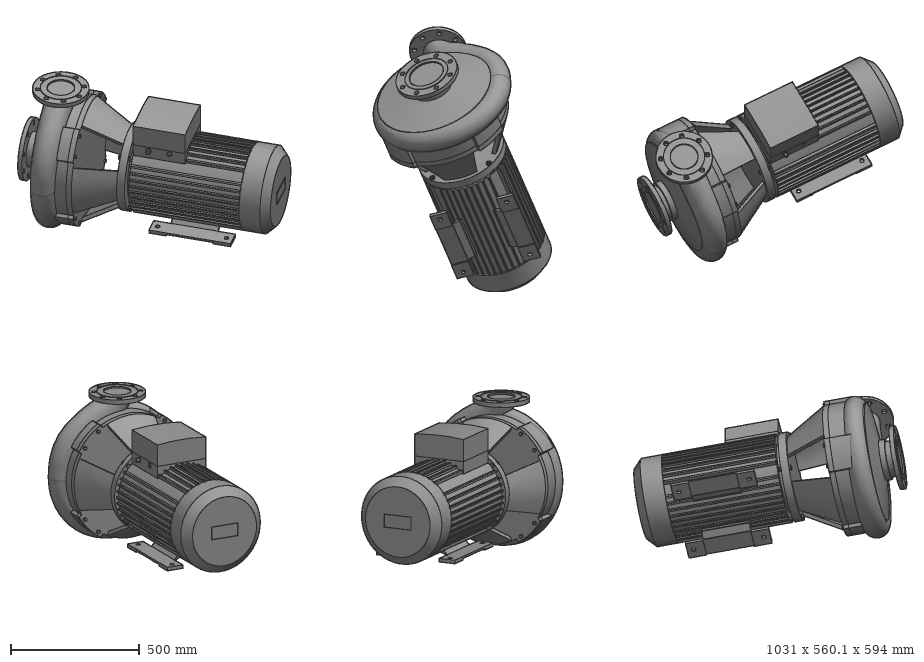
import cadquery as cq
import math


suction_flange_back = 20.0
collar_front = 47.0
cone_front = 70.0
cone_back = 94.0
volute_x = 140.0
joint_x = 234.0
ring_back = 256.0
lantern_flange_front = 417.0
lantern_flange_back = 448.0
motor_front = 463.0
motor_back = 910.0
cover_bevel_x = 995.0
cover_back = 1028.0
overall_length = 1031.0

suction_flange_d = 250.0
suction_face_d = 175.0
suction_bore_d = 139.0
suction_neck_d = 140.0
suction_bolt_circle_d = 210.0
collar_d = 160.0
cone_edge_r = 232.0
discharge_top = 314.0
discharge_flange_t = 20.0
discharge_flange_d = 220.0
discharge_face_d = 160.0
discharge_bore_d = 107.0
discharge_bolt_circle_d = 180.0
flange_hole_d = 19.0
flange_hole_count = 8
raised_face_t = 2.0
bore_recess = 6.0
tube_start_r = 48.0
tube_tail_r = 40.0
tube_outlet_r = 58.0
volute_reach_near = 297.0
volute_reach_far = 263.0
outlet_bend_r = 82.0

ring_r = 251.0
lug_r = 265.0
lug_width = 133.0
stud_d = 13.0
stud_length = 6.0
stud_spacing_angle = 19.0

arm_end_r = 158.0
arm_thickness = 18.0
arm_half_angle = 25.0
lantern_flange_d = 350.0

bolt_circle_r = 163.0
bolt_d = 10.0
bolt_head_d = 18.0
bolt_head_t = 6.0
nut_d = 20.0
nut_t = 6.0
bolt_overhang = 9.0

motor_neck_d = 269.0
motor_core_r = 166.0
fin_tip_r = lantern_flange_d / 2
fin_pitch = 25.0
fin_t = 5.0
fin_side_count = 4
cover_end_r = 140.0
end_plate_width = 115.0
end_plate_height = 52.0

foot_x = 545.0
foot_length = 330.0
foot_inner_y = 102.0
foot_width = 68.0
foot_top = -166.0
foot_plate_t = 8.0
foot_bottom = -180.0
foot_pad_length = 70.0
foot_web_top = -147.0
foot_web_t = 7.0
foot_hole_d = 16.0
foot_hole_inset = 26.0

box_length = 210.0
box_width = 212.0
box_bottom = 128.0
box_split = 177.0
lid_side_top = 265.0
lid_crown = 271.0
gland_z = 162.0
gland_x = 526.0
gland_spacing = 84.0
gland_d = 20.0
gland_collar_length = 5.0
gland_tip_d = 15.0
gland_length = 16.0
gland_hole_depth = 5.0


def disc(x_start, x_end, diameter):
    """Round disc on the shaft axis."""
    return cq.Workplane("YZ", origin=(x_start, 0, 0)).circle(diameter / 2).extrude(x_end - x_start)


def revolve_profile(points):
    """Solid of revolution about the shaft from (x, radius) points."""
    return cq.Workplane("XY").polyline(points).close().revolve(360, (0, 0, 0), (1, 0, 0))


def diagonal_points(radius, offset_angle=0):
    """Four (y, z) points on the diagonals, or turned from them by the offset angle."""
    angles = [math.radians(45 + offset_angle + 90 * i) for i in range(4)]
    return [(radius * math.cos(a), radius * math.sin(a)) for a in angles]


def lugged_ring(x_start, x_end):
    """Disc with four parallel-sided lugs on the diagonals."""
    length = x_end - x_start
    bars = cq.Workplane("YZ", origin=(x_start, 0, 0))
    bars = bars.transformed(rotate=(0, 0, 45)).rect(2 * lug_r, lug_width).extrude(length)
    bars = bars.union(bars.rotate((0, 0, 0), (1, 0, 0), 90))
    return disc(x_start, x_end, 2 * ring_r).union(bars.intersect(disc(x_start, x_end, 2 * lug_r)))


def flange(plane, thickness, diameter, face_d, bore_d, bolt_circle_d):
    """Pipe flange with its raised sealing face on the plane, bolt holes and a bore recess."""
    half_pitch = 180 / flange_hole_count
    face = cq.Workplane(plane).circle(face_d / 2).extrude(-thickness)
    rim = cq.Workplane(plane).workplane(offset=-raised_face_t)
    rim = rim.circle(diameter / 2).extrude(raised_face_t - thickness)
    holes = (
        cq.Workplane(plane)
        .polarArray(bolt_circle_d / 2, half_pitch, 360, flange_hole_count)
        .circle(flange_hole_d / 2)
        .extrude(-thickness)
    )
    bore = cq.Workplane(plane).circle(bore_d / 2).extrude(-bore_recess)
    return face.union(rim).cut(holes).cut(bore)


def volute_spiral():
    """Tube that tapers along an off-centre circle, from the -Y side under the shaft to the top."""
    start_y = -(volute_reach_near - tube_start_r)
    far_r = tube_start_r + (tube_tail_r - tube_start_r) * 2 / 3
    far_y = volute_reach_far - far_r
    path_r = (far_y - start_y) / 2
    center_y = (far_y + start_y) / 2
    plane = cq.Workplane("YZ", origin=(volute_x, center_y, 0))
    half = path_r * math.sqrt(0.5)
    path = plane.moveTo(-path_r, 0).threePointArc((half, -half), (0, path_r))
    start = cq.Workplane("XY", origin=(volute_x, start_y, 0)).circle(tube_start_r).wires().val()
    tail_plane = cq.Plane((volute_x, center_y, path_r), (1, 0, 0), (0, -1, 0))
    tail = cq.Workplane(tail_plane).circle(tube_tail_r).wires().val()
    return cq.Workplane(cq.Solid.sweep_multi([start, tail], path.wire().val()))


def volute_outlet():
    """Tube that widens round the -Y side, then bends up into the discharge flange."""
    path_r = volute_reach_near - tube_start_r
    bend_z = math.sqrt((path_r + outlet_bend_r) ** 2 - outlet_bend_r**2)
    turn = math.atan2(bend_z, outlet_bend_r)
    turn_point = (-path_r * math.cos(turn), path_r * math.sin(turn))
    half_turn_point = (-path_r * math.cos(turn / 2), path_r * math.sin(turn / 2))
    path = cq.Workplane("YZ", origin=(volute_x, 0, 0)).spline(
        [(-path_r, 0), half_turn_point, turn_point, (0, bend_z)], tangents=[(0, 1), (0, 1)]
    )
    start = cq.Workplane("XY", origin=(volute_x, -path_r, 0)).circle(tube_start_r).wires().val()
    end = cq.Workplane("XY", origin=(volute_x, 0, bend_z)).circle(tube_outlet_r).wires().val()
    return cq.Workplane(cq.Solid.sweep_multi([start, end], path.wire().val()))


def make_casing():
    core = revolve_profile(
        [
            (suction_flange_back, 0),
            (suction_flange_back, suction_neck_d / 2),
            (collar_front, suction_neck_d / 2),
            (collar_front, collar_d / 2),
            (cone_front, collar_d / 2),
            (cone_back, cone_edge_r),
            (joint_x, cone_edge_r),
            (joint_x, 0),
        ]
    )
    suction = flange(
        cq.Plane((0, 0, 0), (0, 1, 0), (-1, 0, 0)),
        suction_flange_back,
        suction_flange_d,
        suction_face_d,
        suction_bore_d,
        suction_bolt_circle_d,
    )
    discharge = flange(
        cq.Plane((volute_x, 0, discharge_top)),
        discharge_flange_t,
        discharge_flange_d,
        discharge_face_d,
        discharge_bore_d,
        discharge_bolt_circle_d,
    )
    flange_space = (
        cq.Workplane("XY", origin=(volute_x, 0, discharge_top - discharge_flange_t))
        .circle(discharge_flange_d / 2)
        .extrude(2 * discharge_flange_t)
    )
    body = core.union(lugged_ring(volute_x, joint_x)).union(volute_spiral())
    body = body.union(volute_outlet().cut(flange_space))
    return body.union(suction).union(discharge)


def make_bracket():
    shell = revolve_profile(
        [
            (ring_back, ring_r - arm_thickness),
            (ring_back, ring_r),
            (lantern_flange_front, arm_end_r),
            (lantern_flange_front, arm_end_r - arm_thickness),
        ]
    )
    reach = 2 * ring_r
    half = reach * math.tan(math.radians(arm_half_angle))
    wedge = (
        cq.Workplane("YZ", origin=(ring_back, 0, 0))
        .polyline([(0, 0), (reach, -half), (reach, half)])
        .close()
        .extrude(lantern_flange_front - ring_back)
    )
    body = lugged_ring(joint_x, ring_back)
    body = body.union(disc(lantern_flange_front, lantern_flange_back, lantern_flange_d))
    for i in range(4):
        body = body.union(shell.intersect(wedge.rotate((0, 0, 0), (1, 0, 0), 90 * i)))
    for offset_angle in (-stud_spacing_angle / 2, stud_spacing_angle / 2):
        spots = diagonal_points(ring_r, offset_angle)
        studs = cq.Workplane("YZ", origin=(ring_back, 0, 0)).pushPoints(spots).circle(stud_d / 2)
        body = body.union(studs.extrude(stud_length))
    holes = cq.Workplane("YZ", origin=(lantern_flange_front, 0, 0)).pushPoints(diagonal_points(bolt_circle_r))
    return body.cut(holes.circle(bolt_d / 2).extrude(lantern_flange_back - lantern_flange_front))


def make_bolt(y, z):
    head_end = lantern_flange_back + bolt_head_t
    bolt = disc(lantern_flange_front - bolt_overhang, head_end, bolt_d)
    bolt = bolt.union(disc(lantern_flange_back, head_end, bolt_head_d))
    bolt = bolt.union(disc(lantern_flange_front - nut_t, lantern_flange_front, nut_d))
    return bolt.translate((0, y, z))


def make_foot():
    """Foot on the -Y side: plate on two pads, joined to the motor by a sloping web."""
    center_x = foot_x + foot_length / 2
    plate_y = -foot_inner_y - foot_width / 2
    top = cq.Workplane("XY", origin=(center_x, plate_y, foot_top))
    plate = top.rect(foot_length, foot_width).extrude(-foot_plate_t)
    pad_shift = (foot_length - foot_pad_length) / 2
    pads = (
        top.pushPoints([(-pad_shift, 0), (pad_shift, 0)])
        .rect(foot_pad_length, foot_width)
        .extrude(foot_bottom - foot_top)
    )
    hole_shift = foot_length / 2 - foot_hole_inset
    holes = (
        top.pushPoints([(-hole_shift, 0), (hole_shift, 0)])
        .circle(foot_hole_d / 2)
        .extrude(foot_bottom - foot_top)
    )
    rise = foot_web_top - foot_top
    web = (
        cq.Workplane("YZ", origin=(foot_x + foot_pad_length, 0, 0))
        .polyline(
            [
                (-foot_inner_y - foot_web_t, foot_top - foot_plate_t),
                (-foot_inner_y, foot_top),
                (-foot_inner_y + rise, foot_web_top),
                (-foot_inner_y + 2 * rise, foot_web_top),
                (-foot_inner_y + 2 * rise, foot_web_top - foot_web_t),
            ]
        )
        .close()
        .extrude(foot_length - 2 * foot_pad_length)
    )
    return plate.union(pads).cut(holes).union(web)


def make_motor():
    length = motor_back - motor_front
    body = disc(lantern_flange_back, motor_front, motor_neck_d)
    body = body.union(disc(motor_front, motor_back, 2 * motor_core_r))
    spots = [i * fin_pitch for i in range(-fin_side_count, fin_side_count + 1)]
    start = cq.Workplane("YZ", origin=(motor_front, 0, 0))
    fins = start.pushPoints([(0, s) for s in spots]).rect(2 * fin_tip_r, fin_t).extrude(length)
    fins = fins.union(start.pushPoints([(s, 0) for s in spots]).rect(fin_t, 2 * fin_tip_r).extrude(length))
    body = body.union(fins.intersect(disc(motor_front, motor_back, 2 * fin_tip_r)))
    foot = make_foot()
    body = body.union(foot).union(foot.mirror("XZ"))
    seat = cq.Workplane("XY", origin=(motor_front + box_length / 2, 0, box_bottom))
    return body.cut(seat.rect(box_length, box_width).extrude(fin_tip_r))


def make_fan_cover():
    cover = revolve_profile(
        [
            (motor_back, 0),
            (motor_back, fin_tip_r),
            (cover_bevel_x, fin_tip_r),
            (cover_back, cover_end_r),
            (cover_back, 0),
        ]
    )
    plate = cq.Workplane("YZ", origin=(cover_back, 0, 0)).rect(end_plate_width, end_plate_height)
    return cover.union(plate.extrude(overall_length - cover_back))


def make_terminal_box():
    box = cq.Workplane("XY", origin=(motor_front + box_length / 2, 0, box_bottom))
    box = box.rect(box_length, box_width).extrude(box_split - box_bottom)
    side = cq.Workplane("XZ", origin=(0, -box_width / 2, 0))
    hole = side.center(gland_x + gland_spacing, gland_z).circle(gland_d / 2).extrude(-gland_hole_depth)
    collar = side.center(gland_x, gland_z).circle(gland_d / 2).extrude(gland_collar_length)
    tip = side.center(gland_x, gland_z).circle(gland_tip_d / 2).extrude(gland_length)
    return box.cut(hole).union(collar).union(tip)


def make_lid():
    """Lid with an arched top."""
    half = box_width / 2
    return (
        cq.Workplane("YZ", origin=(motor_front, 0, 0))
        .moveTo(-half, box_split)
        .lineTo(half, box_split)
        .lineTo(half, lid_side_top)
        .threePointArc((0, lid_crown), (-half, lid_side_top))
        .close()
        .extrude(box_length)
    )


casing = make_casing()
bracket = make_bracket()
bolts = [make_bolt(y, z) for y, z in diagonal_points(bolt_circle_r)]
motor = make_motor()
fan_cover = make_fan_cover()
terminal_box = make_terminal_box()
lid = make_lid()

result = cq.Compound.makeCompound(
    [
        casing.val(),
        bracket.val(),
        *[bolt.val() for bolt in bolts],
        motor.val(),
        fan_cover.val(),
        terminal_box.val(),
        lid.val(),
    ]
)